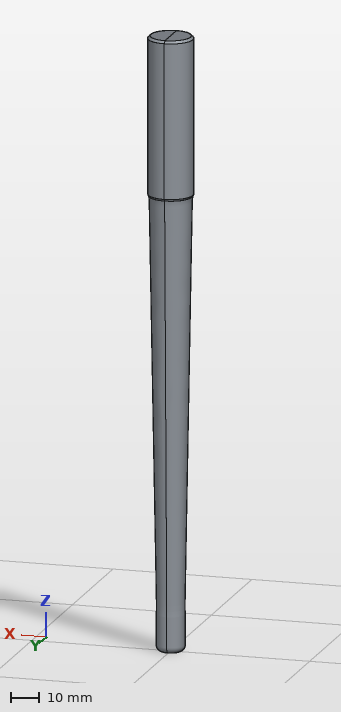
import cadquery as cq

length = 220.0

grip_radius = 8.03
grip_length = 56.5
grip_chamfer = 0.9
grip_bevel_height = 0.7

shoulder_length = 3.5
shoulder_arc_radius = 13.2
shoulder_step_radius = 7.7
taper_top_radius = 7.5

tip_radius = 5.0
tip_length = 13.2
ring_width = 2.0
ring_depth = 0.07
tip_fillet = 2.2

grip_bottom = length - grip_length
shoulder_top = grip_bottom - grip_bevel_height
taper_top = grip_bottom - shoulder_length
ring_bottom = tip_length
ring_middle = ring_bottom + ring_width
taper_bottom = ring_middle + ring_width


def half_profile():
    """Outline from the axis outward, drawn in the XZ plane."""
    return (
        cq.Workplane("XZ")
        .lineTo(tip_radius - tip_fillet, 0)
        .radiusArc((tip_radius, tip_fillet), -tip_fillet)
        .lineTo(tip_radius, ring_bottom)
        .lineTo(tip_radius - ring_depth, ring_middle)
        .lineTo(tip_radius - ring_depth, taper_bottom)
        .lineTo(taper_top_radius, taper_top)
        .radiusArc((shoulder_step_radius, shoulder_top), shoulder_arc_radius)
        .lineTo(grip_radius, grip_bottom)
        .lineTo(grip_radius, length - grip_chamfer)
        .lineTo(grip_radius - grip_chamfer, length)
        .lineTo(0, length)
        .close()
    )


def handle_half(start_angle):
    """One half of the handle, with its flat face on the X = 0 plane."""
    half = half_profile().revolve(180, (0, 0), (0, 1))
    return half.rotate((0, 0, 0), (0, 0, 1), start_angle)


handle_halves = [handle_half(start_angle) for start_angle in (90, 270)]
result = cq.Compound.makeCompound([half.val() for half in handle_halves])